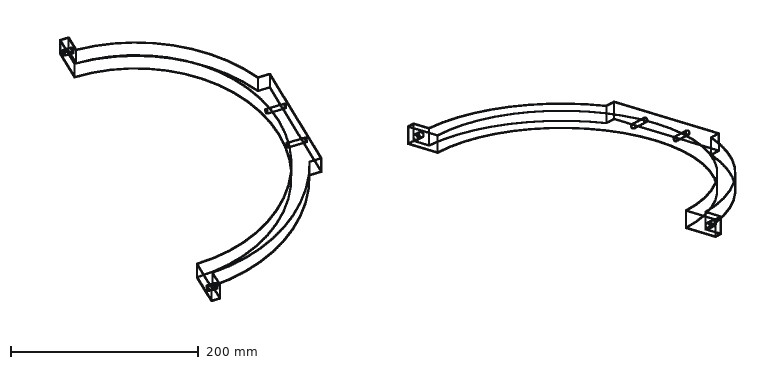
import cadquery as cq

overall_width = 410.0
outer_radius = 185.0
inner_radius = 165.5
height = 20.0
tab_thickness = 10.0
pad_width = 140.0
tab_hole_spacing = 390.0
tab_hole_diameter = 6.0
pad_hole_spacing = 56.0
pad_hole_diameter = 5.0


def block(width, depth):
    """Plate centred on X, rising from Z = 0, with its front face at Y = 0."""
    return cq.Workplane("XY").box(width, depth, height, centered=(True, False, False))


def cross_holes(spacing, diameter):
    """Pair of holes along Y at mid height, long enough to cross the whole part."""
    return (
        cq.Workplane("XZ", origin=(0, 0, height / 2))
        .pushPoints([(-spacing / 2, 0), (spacing / 2, 0)])
        .circle(diameter / 2)
        .extrude(-outer_radius)
    )


disc = cq.Workplane("XY").circle(outer_radius).extrude(height)
half_disc = disc.intersect(block(2 * outer_radius, outer_radius))
tabs = block(overall_width, tab_thickness)
pad = block(pad_width, outer_radius)
bore = cq.Workplane("XY").circle(inner_radius).extrude(height)
body = half_disc.union(tabs).union(pad).cut(bore)

result = (
    body.cut(cross_holes(tab_hole_spacing, tab_hole_diameter))
    .cut(cross_holes(pad_hole_spacing, pad_hole_diameter))
)